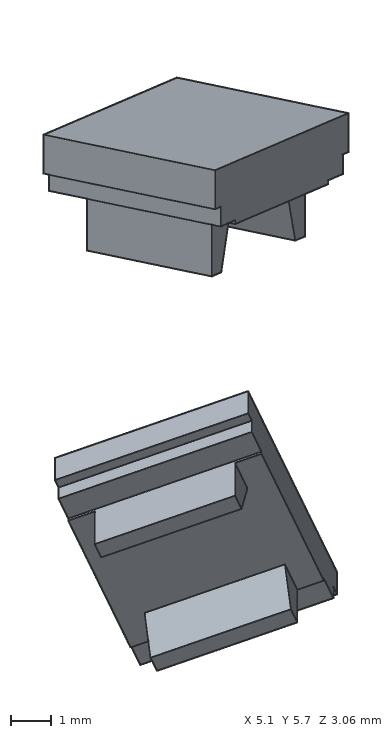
import cadquery as cq

width = 5.1
depth = 5.7
height = 3.06

cap_thickness = 1.0
step_depth = 5.23
step_thickness = 0.5
pad_depth = 3.99
pad_thickness = 0.095

leg_length = 3.705
leg_root = 0.8
leg_tip = 0.415

top_z = height / 2
cap_bottom = top_z - cap_thickness
step_bottom = cap_bottom - step_thickness
pad_bottom = step_bottom - pad_thickness
leg_bottom = -height / 2


def slab(size_y, thickness, bottom_z):
    """Full-width slab centred on the Z axis."""
    return cq.Workplane("XY").workplane(offset=bottom_z).box(
        width, size_y, thickness, centered=(True, True, False)
    )


def leg(side):
    """Leg with its outer face flush with the pad and a sloping inner face."""
    outer = pad_depth / 2
    root_z = step_bottom
    profile = [
        (side * outer, root_z),
        (side * outer, leg_bottom),
        (side * (outer - leg_tip), leg_bottom),
        (side * (outer - leg_root), pad_bottom),
        (side * (outer - leg_root), root_z),
    ]
    return cq.Workplane("YZ").polyline(profile).close().extrude(leg_length / 2, both=True)


result = slab(depth, cap_thickness, cap_bottom)
result = result.union(slab(step_depth, step_thickness, step_bottom))
result = result.union(slab(pad_depth, pad_thickness, pad_bottom))
for side in (-1, 1):
    result = result.union(leg(side))